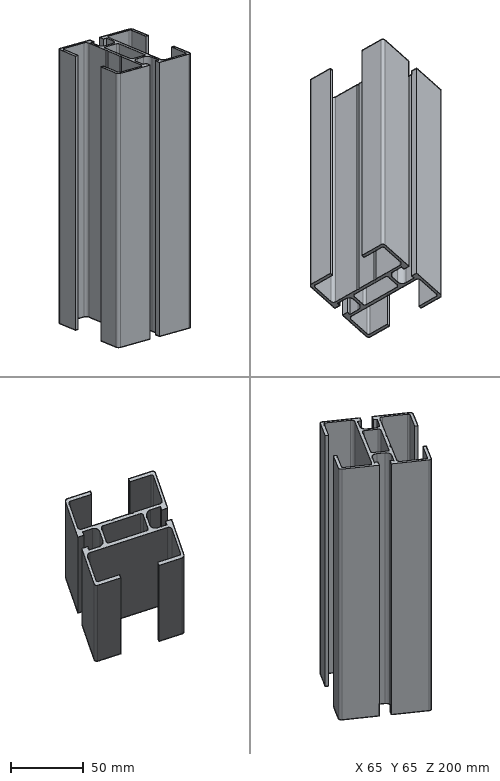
import cadquery as cq

LENGTH = 200.0
SIDE = 65.0
OUTER_RADIUS = 2.0

SIDE_WALL = 2.0
LIP_THICKNESS = 2.5
CHANNEL_OPENING = 27.5
CHANNEL_FLOOR_Y = 8.8
CHANNEL_LIP_RADIUS = 1.5
CHANNEL_FLOOR_RADIUS = 2.5

SLOT_OPENING = 8.5
SLOT_LIP_DEPTH = 4.5
SLOT_WIDTH = 13.5
SLOT_FLOOR_X = 17.0
SLOT_FLOOR_RADIUS = 4.0

CHAMBER_WIDTH = 30.0
CHAMBER_HEIGHT = 12.8
CHAMBER_RADIUS = 1.5

GROOVE_WIDTH = 1.8
GROOVE_DEPTH = 0.5
GROOVE_CENTERS_X = (-8.5, 6.5)


def prism(x_min, x_max, y_min, y_max):
    """Full-length rectangular bar between the given limits."""
    return (
        cq.Workplane("XY")
        .center((x_min + x_max) / 2, (y_min + y_max) / 2)
        .rect(x_max - x_min, y_max - y_min)
        .extrude(LENGTH)
    )


def channel():
    """Void of the +Y channel: rounded cavity and its opening."""
    half_width = SIDE / 2 - SIDE_WALL
    half_opening = CHANNEL_OPENING / 2
    cavity = (
        prism(-half_width, half_width, CHANNEL_FLOOR_Y, SIDE / 2 - LIP_THICKNESS)
        .edges("|Z and <Y").fillet(CHANNEL_FLOOR_RADIUS)
        .edges("|Z and >Y").fillet(CHANNEL_LIP_RADIUS)
    )
    return cavity.union(prism(-half_opening, half_opening, CHANNEL_FLOOR_Y, SIDE / 2))


def side_slot():
    """Void of the +X slot: wide inside, narrow at the mouth."""
    cavity = prism(
        SLOT_FLOOR_X, SIDE / 2 - SLOT_LIP_DEPTH, -SLOT_WIDTH / 2, SLOT_WIDTH / 2
    )
    cavity = cavity.edges("|Z and <X").fillet(SLOT_FLOOR_RADIUS)
    middle_x = (SLOT_FLOOR_X + SIDE / 2) / 2
    return cavity.union(prism(middle_x, SIDE / 2, -SLOT_OPENING / 2, SLOT_OPENING / 2))


def chamber():
    """Void of the rounded central chamber."""
    half_width = CHAMBER_WIDTH / 2
    half_height = CHAMBER_HEIGHT / 2
    void = prism(-half_width, half_width, -half_height, half_height)
    return void.edges("|Z").fillet(CHAMBER_RADIUS)


def marking_groove(center_x):
    """Void of one shallow groove with an arc-shaped bottom."""
    return (
        cq.Workplane("XY")
        .moveTo(center_x - GROOVE_WIDTH / 2, -CHANNEL_FLOOR_Y)
        .threePointArc(
            (center_x, -CHANNEL_FLOOR_Y + GROOVE_DEPTH),
            (center_x + GROOVE_WIDTH / 2, -CHANNEL_FLOOR_Y),
        )
        .close()
        .extrude(LENGTH)
    )


half_side = SIDE / 2
profile = prism(-half_side, half_side, -half_side, half_side).edges("|Z").fillet(OUTER_RADIUS)

for void in (channel(), side_slot()):
    for angle in (0, 180):
        profile = profile.cut(void.rotate((0, 0, 0), (0, 0, 1), angle))

profile = profile.cut(chamber())

for groove_x in GROOVE_CENTERS_X:
    profile = profile.cut(marking_groove(groove_x))

result = profile